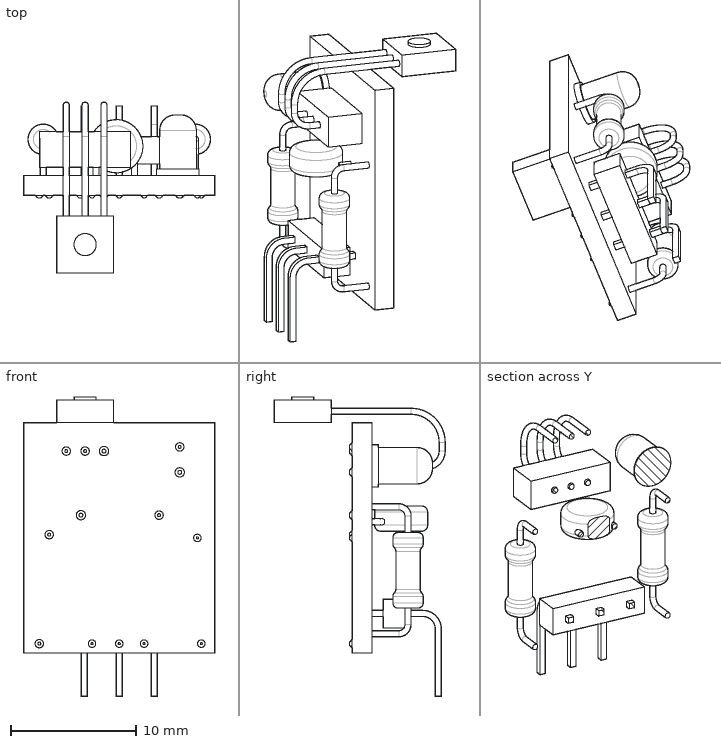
import cadquery as cq
import math

wire_dia = 0.5
quarter_middle = 45

board_width = 15.25
board_height = 18.39
board_thickness = 1.6

solder_height = 0.21
solder_slope = 45
small_solder_dia = 0.6
medium_solder_dia = 0.67
large_solder_dia = 0.75
solder_row_z = 0.76
sensor_solder_z = 16.12
led_solder_x = 4.82
small_solder_row_x = (-2.17, 0, 1.98, 6.55)
left_solder_row_x = -6.38
right_solder_point = (6.23, 9.2)
left_solder_point = (-5.59, 9.45)
upper_left_solder_point = (-3.05, 11.0)
upper_right_solder_point = (3.18, 11.0)
led_lower_solder_z = 14.42
led_upper_solder_z = 16.45

sensor_x = -2.72
sensor_side = 4.55
sensor_height = 1.81
sensor_back_y = -1.65
window_dia = 1.77
window_height = 0.25
sensor_wire_pitch = 1.5
sensor_wire_steps = (-1, 0, 1)
sensor_bend_y = 7.19
sensor_upper_bend = 2.48
sensor_lower_bend = 1.25
sensor_foot_z = 14.88
sensor_wire_z = board_height + sensor_height / 2

spacer_width = 7.25
spacer_front_y = 2.22
spacer_depth = 2.87
spacer_height = 2.5

led_x = 4.68
led_z = 14.95
led_dia = 2.94
led_tip_y = 6.42
led_round = 1.25
led_flange_dia = 3.4
led_flange_thickness = 0.5

disc_x = -0.25
disc_y = 3.92
disc_bottom_z = 9.72
disc_dia = 4.25
disc_height = 2.03
disc_round = 0.5
disc_lead_x = (-1.86, 1.22)
disc_lead_z = 10.48
disc_lead_end_y = 2.6

resistor_x = 6.07
resistor_y = 4.47
resistor_mid_z = 6.61
resistor_length = 6.05
cap_radius = 1.22
core_radius = 0.98
cap_round = 0.43
cap_band = 0.5
neck_length = 0.57
resistor_bend = 0.75
resistor_foot_span = 10.13
core_half_length = resistor_length / 2 - cap_round - cap_band - neck_length

header_pitch = 2.8
pin_steps = (-1, 0, 1)
header_width = len(pin_steps) * header_pitch
header_front_y = 2.48
header_depth = 2.2
header_bottom_z = 2.0
header_height = 2.32
pin_side = 0.5
pin_z = 3.18
pin_bend_y = 6.88
pin_bend = 1.25
pin_end_z = -3.45


def box(width, depth, height, center_x, front_y, bottom_z):
    """Box centred on center_x, standing on bottom_z, reaching back from front_y."""
    return cq.Workplane("XY").box(width, depth, height, centered=(True, False, False)).translate(
        (center_x, front_y, bottom_z)
    )


def rod_along_y(diameter, x, z, start_y, end_y):
    """Round rod parallel to Y."""
    plane = cq.Plane(origin=(x, start_y, z), xDir=(1, 0, 0), normal=(0, 1, 0))
    return cq.Workplane(plane).circle(diameter / 2).extrude(end_y - start_y)


def arc_point(center, radius, angle):
    """Point of a circle at the given angle in degrees, given as (across, up)."""
    turn = math.radians(angle)
    return (center[0] + radius * math.cos(turn), center[1] + radius * math.sin(turn))


def solder_cone(diameter, x, z):
    """Flat-tipped cone standing out of the board's -Y face."""
    return (
        cq.Workplane("XZ", origin=(x, 0, z))
        .circle(diameter / 2)
        .extrude(solder_height, taper=solder_slope)
    )


def sensor_wire_positions():
    """X of the sensor wires, left to right."""
    return [sensor_x + step * sensor_wire_pitch for step in sensor_wire_steps]


def make_board():
    board = box(board_width, board_thickness, board_height, 0, 0, 0)
    left_wire_x, middle_wire_x, right_wire_x = sensor_wire_positions()
    small_points = [(x, solder_row_z) for x in small_solder_row_x]
    small_points.append(right_solder_point)
    medium_points = [
        (left_solder_row_x, solder_row_z),
        (left_wire_x, sensor_solder_z),
        (middle_wire_x, sensor_solder_z),
        (led_solder_x, led_upper_solder_z),
        left_solder_point,
        upper_right_solder_point,
    ]
    large_points = [
        (right_wire_x, sensor_solder_z),
        (led_solder_x, led_lower_solder_z),
        upper_left_solder_point,
    ]
    for diameter, points in (
        (small_solder_dia, small_points),
        (medium_solder_dia, medium_points),
        (large_solder_dia, large_points),
    ):
        for x, z in points:
            board = board.union(solder_cone(diameter, x, z))
    return board


def sensor_wire(x):
    """Wire from the head, over the board's top edge and back down to its +Y face."""
    upper_center = (sensor_bend_y - sensor_upper_bend, sensor_wire_z - sensor_upper_bend)
    lower_center = (sensor_bend_y - sensor_lower_bend, sensor_foot_z + sensor_lower_bend)
    upper_middle = arc_point(upper_center, sensor_upper_bend, quarter_middle)
    lower_middle = arc_point(lower_center, sensor_lower_bend, -quarter_middle)
    start_y = sensor_back_y - sensor_side / 2
    path = (
        cq.Workplane("YZ", origin=(x, 0, 0))
        .moveTo(start_y, sensor_wire_z)
        .lineTo(upper_center[0], sensor_wire_z)
        .threePointArc(upper_middle, (sensor_bend_y, upper_center[1]))
        .lineTo(sensor_bend_y, lower_center[1])
        .threePointArc(lower_middle, (lower_center[0], sensor_foot_z))
        .lineTo(board_thickness, sensor_foot_z)
    )
    start = cq.Workplane("XZ", origin=(x, start_y, sensor_wire_z))
    return start.circle(wire_dia / 2).sweep(path)


def make_sensor():
    front_y = sensor_back_y - sensor_side
    sensor = box(sensor_side, sensor_side, sensor_height, sensor_x, front_y, board_height)
    window = (
        cq.Workplane("XY", origin=(sensor_x, front_y + sensor_side / 2, board_height + sensor_height))
        .circle(window_dia / 2)
        .extrude(window_height)
    )
    sensor = sensor.union(window)
    for x in sensor_wire_positions():
        sensor = sensor.union(sensor_wire(x))
    return sensor


def make_spacer():
    bottom_z = sensor_foot_z - spacer_height / 2
    spacer = box(spacer_width, spacer_depth, spacer_height, sensor_x, spacer_front_y, bottom_z)
    for x in sensor_wire_positions():
        spacer = spacer.cut(
            rod_along_y(wire_dia, x, sensor_foot_z, spacer_front_y, spacer_front_y + spacer_depth)
        )
    return spacer


def make_led():
    lens = rod_along_y(led_dia, led_x, led_z, board_thickness, led_tip_y)
    lens = lens.faces(">Y").edges().fillet(led_round)
    flange_end_y = board_thickness + led_flange_thickness
    return lens.union(rod_along_y(led_flange_dia, led_x, led_z, board_thickness, flange_end_y))


def make_disc():
    disc = (
        cq.Workplane("XY", origin=(disc_x, disc_y, disc_bottom_z))
        .circle(disc_dia / 2)
        .extrude(disc_height)
        .edges()
        .fillet(disc_round)
    )
    for x in disc_lead_x:
        disc = disc.union(rod_along_y(wire_dia, x, disc_lead_z, board_thickness, disc_lead_end_y))
    return disc


def neck_arc_middle(band_bottom_z):
    """Middle of the convex arc that leads from the cap's band into the neck."""
    half_length = neck_length / 2
    half_step = (cap_radius - core_radius) / 2
    radius = (half_length**2 + half_step**2) / (2 * half_step)
    half_angle = math.degrees(math.asin(half_length / radius)) / 2
    return arc_point((cap_radius - radius, band_bottom_z), radius, -half_angle)


def resistor_cap():
    """Upper end cap with its S-shaped neck, about the Z axis with the resistor's middle at z = 0."""
    end_z = resistor_length / 2
    band_top_z = end_z - cap_round
    band_bottom_z = band_top_z - cap_band
    neck_middle = ((cap_radius + core_radius) / 2, band_bottom_z - neck_length / 2)
    convex_middle = neck_arc_middle(band_bottom_z)
    concave_middle = (2 * neck_middle[0] - convex_middle[0], 2 * neck_middle[1] - convex_middle[1])
    round_center = (cap_radius - cap_round, band_top_z)
    profile = (
        cq.Workplane("XZ")
        .moveTo(0, core_half_length)
        .lineTo(core_radius, core_half_length)
        .threePointArc(concave_middle, neck_middle)
        .threePointArc(convex_middle, (cap_radius, band_bottom_z))
        .lineTo(cap_radius, band_top_z)
        .threePointArc(arc_point(round_center, cap_round, quarter_middle), (cap_radius - cap_round, end_z))
        .lineTo(0, end_z)
        .close()
    )
    return profile.revolve(360, (0, 0, 0), (0, 1, 0))


def resistor_lead():
    """Upper lead, bent back to the board, about the same axis as the cap."""
    foot_z = resistor_foot_span / 2
    bend_center = (-resistor_bend, foot_z - resistor_bend)
    path = (
        cq.Workplane("YZ")
        .moveTo(0, core_half_length)
        .lineTo(0, bend_center[1])
        .threePointArc(arc_point(bend_center, resistor_bend, quarter_middle), (bend_center[0], foot_z))
        .lineTo(board_thickness - resistor_y, foot_z)
    )
    return cq.Workplane("XY", origin=(0, 0, core_half_length)).circle(wire_dia / 2).sweep(path)


def make_resistor(x):
    core = (
        cq.Workplane("XY", origin=(0, 0, -core_half_length))
        .circle(core_radius)
        .extrude(2 * core_half_length)
    )
    upper_end = resistor_cap().union(resistor_lead())
    resistor = core.union(upper_end).union(upper_end.mirror("XY"))
    return resistor.translate((x, resistor_y, resistor_mid_z))


def header_pin(x):
    """Square pin from the board, bent down past the board's bottom edge."""
    bend_center = (pin_bend_y - pin_bend, pin_z - pin_bend)
    path = (
        cq.Workplane("YZ", origin=(x, 0, 0))
        .moveTo(board_thickness, pin_z)
        .lineTo(bend_center[0], pin_z)
        .threePointArc(arc_point(bend_center, pin_bend, quarter_middle), (pin_bend_y, bend_center[1]))
        .lineTo(pin_bend_y, pin_end_z)
    )
    return cq.Workplane("XZ", origin=(x, board_thickness, pin_z)).rect(pin_side, pin_side).sweep(path)


def make_header():
    header = box(header_width, header_depth, header_height, 0, header_front_y, header_bottom_z)
    for step in pin_steps:
        header = header.union(header_pin(step * header_pitch))
    return header


board = make_board()
sensor = make_sensor()
spacer = make_spacer()
led = make_led()
disc = make_disc()
resistors = [make_resistor(side * resistor_x) for side in (-1, 1)]
header = make_header()

result = cq.Compound.makeCompound(
    [
        board.val(),
        sensor.val(),
        spacer.val(),
        led.val(),
        disc.val(),
        *[resistor.val() for resistor in resistors],
        header.val(),
    ]
)